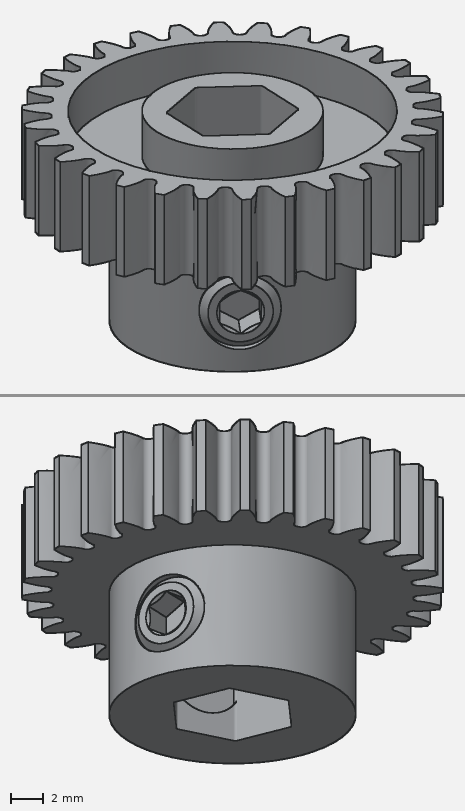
import cadquery as cq
import math

TOOTH_COUNT = 30
TIP_DIAMETER = 25.6
PRESSURE_ANGLE = math.radians(20)
MODULE = TIP_DIAMETER / (TOOTH_COUNT + 2)
PITCH_RADIUS = MODULE * TOOTH_COUNT / 2
BASE_RADIUS = PITCH_RADIUS * math.cos(PRESSURE_ANGLE)
TIP_RADIUS = TIP_DIAMETER / 2
DEDENDUM_FACTOR = 1.25
ROOT_RADIUS = PITCH_RADIUS - DEDENDUM_FACTOR * MODULE
FLANK_POINTS = 6

TOTAL_HEIGHT = 14.0
FACE_WIDTH = 6.02
HUB_LENGTH = TOTAL_HEIGHT - FACE_WIDTH
HUB_DIAMETER = 15.0
RECESS_DIAMETER = 20.0
RECESS_DEPTH = 3.0
BOSS_DIAMETER = 11.0
BORE_ACROSS_FLATS = 7.0
BORE_CORNER_RADIUS = 0.2

SCREW_ANGLES = (-30, 90)
SCREW_DIAMETER = 5.0
SCREW_CHAMFER = 0.5
SCREW_HEIGHT = HUB_LENGTH / 2
SCREW_INNER_END = BORE_ACROSS_FLATS / 2
SCREW_LENGTH = HUB_DIAMETER / 2 - SCREW_INNER_END
SOCKET_ACROSS_FLATS = 2.5
SOCKET_DEPTH = 2.0
LEAD_IN_DEPTH = 0.38
LEAD_IN_ANGLE = 45


def polar(radius, angle):
    return (radius * math.cos(angle), radius * math.sin(angle))


def across_corners(across_flats):
    return across_flats / math.cos(math.pi / 6)


def involute_angle(radius):
    """Polar angle swept by the involute from the base circle out to the radius."""
    pressure = math.acos(BASE_RADIUS / radius)
    return math.tan(pressure) - pressure


def half_tooth_angle(radius):
    """Half the angle a tooth fills at the radius."""
    at_pitch = math.pi / (2 * TOOTH_COUNT)
    return at_pitch + involute_angle(PITCH_RADIUS) - involute_angle(radius)


def make_toothed_disc():
    pitch_angle = 2 * math.pi / TOOTH_COUNT
    radius_step = (TIP_RADIUS - BASE_RADIUS) / (FLANK_POINTS - 1)
    radii = [BASE_RADIUS + i * radius_step for i in range(FLANK_POINTS)]
    base_half = half_tooth_angle(BASE_RADIUS)

    first_centre = math.pi / 2
    outline = cq.Workplane("XY").moveTo(*polar(BASE_RADIUS, first_centre - base_half))
    for tooth in range(TOOTH_COUNT):
        centre = first_centre + tooth * pitch_angle
        rising = [polar(r, centre - half_tooth_angle(r)) for r in radii]
        falling = [polar(r, centre + half_tooth_angle(r)) for r in reversed(radii)]
        outline = outline.spline(rising[1:], includeCurrent=True)
        outline = outline.threePointArc(polar(TIP_RADIUS, centre), falling[0])
        outline = outline.spline(falling[1:], includeCurrent=True)
        outline = outline.threePointArc(
            polar(ROOT_RADIUS, centre + pitch_angle / 2),
            polar(BASE_RADIUS, centre + pitch_angle - base_half),
        )
    return outline.close().extrude(FACE_WIDTH)


def screw_plane(angle):
    """Plane facing outward along a screw axis, at the inner end of the screw."""
    direction = polar(1, math.radians(angle))
    origin = polar(SCREW_INNER_END, math.radians(angle))
    return cq.Plane(
        origin=(*origin, SCREW_HEIGHT), xDir=(0, 0, 1), normal=(*direction, 0)
    )


def make_screw_blank(angle):
    """Plain cylinder that fills a screw hole, from the bore flat to the hub surface."""
    return cq.Workplane(screw_plane(angle)).circle(SCREW_DIAMETER / 2).extrude(SCREW_LENGTH)


def make_gear():
    rim = make_toothed_disc().translate((0, 0, HUB_LENGTH))
    hub = cq.Workplane("XY").circle(HUB_DIAMETER / 2).extrude(HUB_LENGTH)
    recess = (
        cq.Workplane("XY", origin=(0, 0, TOTAL_HEIGHT))
        .circle(RECESS_DIAMETER / 2)
        .circle(BOSS_DIAMETER / 2)
        .extrude(-RECESS_DEPTH)
    )
    bore = (
        cq.Workplane("XY")
        .polygon(6, across_corners(BORE_ACROSS_FLATS))
        .extrude(TOTAL_HEIGHT)
        .edges("|Z")
        .fillet(BORE_CORNER_RADIUS)
    )
    gear = rim.union(hub).cut(recess).cut(bore)
    for angle in SCREW_ANGLES:
        gear = gear.cut(make_screw_blank(angle))
    return gear


def make_set_screw(angle):
    outer_end = cq.Workplane(screw_plane(angle)).workplane(offset=SCREW_LENGTH)
    outward = cq.selectors.DirectionMinMaxSelector(screw_plane(angle).zDir)
    blank = make_screw_blank(angle).faces(outward).chamfer(SCREW_CHAMFER)

    socket_radius = across_corners(SOCKET_ACROSS_FLATS) / 2
    socket = outer_end.polygon(6, 2 * socket_radius).extrude(-SOCKET_DEPTH)
    lead_in = outer_end.circle(socket_radius).extrude(-LEAD_IN_DEPTH, taper=LEAD_IN_ANGLE)
    return blank.cut(socket).cut(lead_in)


gear = make_gear()
set_screws = [make_set_screw(angle) for angle in SCREW_ANGLES]

result = cq.Compound.makeCompound([gear.val(), *[screw.val() for screw in set_screws]])